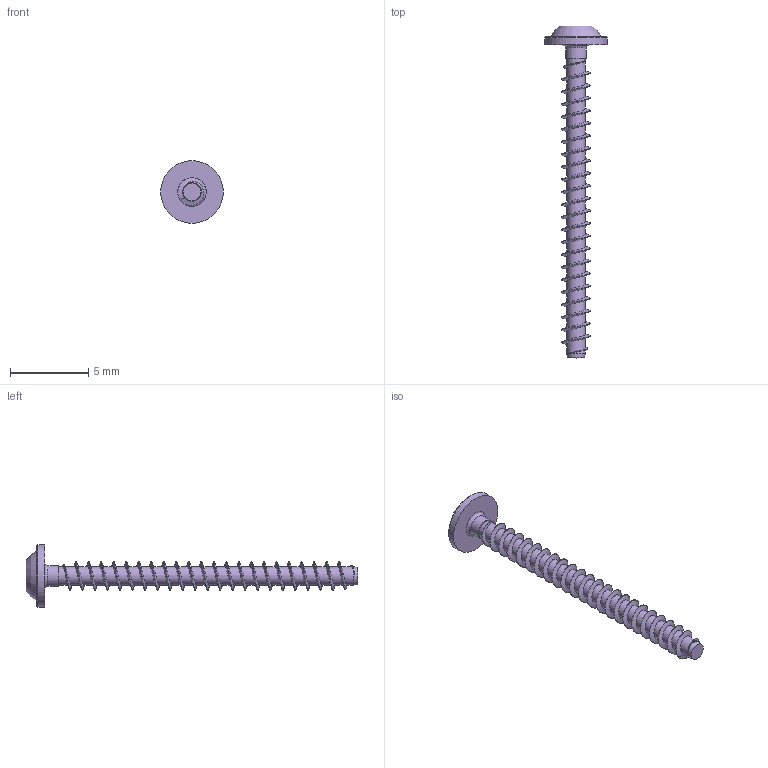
import cadquery as cq
import math


flange_diameter = 4.0
flange_thickness = 0.5
flange_edge_chamfer = 0.06
head_height = 1.2
dome_base_diameter = 3.2
dome_top_diameter = 2.0
dome_bulge = 0.05

shank_diameter = 1.32
shank_end = -0.87
neck_fillet = 0.2

screw_length = 20.0
core_diameter = 1.18
tip_diameter = 1.1
tip_taper_length = 0.3

pitch = 0.8
thread_diameter = 1.82
thread_start = -0.8
thread_end = -19.88
runout_turns = 1.0
flank_half_angle = 15.0
crest_width = 0.02
root_embed = 0.1
buried_crest = 0.02
points_per_turn = 16
start_angle = math.radians(-90)

section_corners = [(True, 1), (True, -1), (False, -1), (False, 1)]

core_radius = core_diameter / 2
crest_radius = thread_diameter / 2
root_radius = core_radius - root_embed
runout_radius = tip_diameter / 2 - buried_crest
thread_turns = (thread_start - thread_end) / pitch


def make_body():
    """Head, shank and core revolved around the Y axis."""
    shank_radius = shank_diameter / 2
    flange_radius = flange_diameter / 2
    dome_base_radius = dome_base_diameter / 2
    dome_top_radius = dome_top_diameter / 2
    fillet_mid = neck_fillet * (1 - math.sqrt(0.5))
    dome_mid_radius = (dome_base_radius + dome_top_radius) / 2 + dome_bulge
    dome_mid_height = (flange_thickness + head_height) / 2 + dome_bulge
    profile = (
        cq.Workplane("XY")
        .moveTo(0, -screw_length)
        .lineTo(tip_diameter / 2, -screw_length)
        .lineTo(core_radius, -screw_length + tip_taper_length)
        .lineTo(core_radius, shank_end)
        .lineTo(shank_radius, shank_end)
        .lineTo(shank_radius, -neck_fillet)
        .threePointArc(
            (shank_radius + fillet_mid, -fillet_mid),
            (shank_radius + neck_fillet, 0),
        )
        .lineTo(flange_radius, 0)
        .lineTo(flange_radius, flange_thickness - flange_edge_chamfer)
        .lineTo(flange_radius - flange_edge_chamfer, flange_thickness)
        .lineTo(dome_base_radius, flange_thickness)
        .threePointArc((dome_mid_radius, dome_mid_height), (dome_top_radius, head_height))
        .lineTo(0, head_height)
        .close()
    )
    return profile.revolve(360, (0, 0, 0), (0, 1, 0))


def crest_radius_at(turn):
    """Crest radius, rising out of the core at one end and sinking back at the other."""
    from_nearest_end = min(turn, thread_turns - turn)
    rise = min(1.0, from_nearest_end / runout_turns)
    return runout_radius + rise * (crest_radius - runout_radius)


def thread_point(turn, is_crest, side):
    """Point on a long edge of the thread; side is +1 towards the head, -1 towards the tip."""
    crest = crest_radius_at(turn)
    radius = crest if is_crest else root_radius
    half_width = crest_width / 2 + (crest - radius) * math.tan(math.radians(flank_half_angle))
    angle = 2 * math.pi * turn + start_angle
    y = thread_start - pitch * turn + side * half_width
    return cq.Vector(radius * math.cos(angle), y, radius * math.sin(angle))


def thread_edges(first_turn, last_turn):
    """The four long edges of one stretch of thread, in order around its section."""
    steps = math.ceil((last_turn - first_turn) * points_per_turn)
    turns = [first_turn + (last_turn - first_turn) * step / steps for step in range(steps + 1)]
    return [
        cq.Edge.makeSpline([thread_point(turn, is_crest, side) for turn in turns])
        for is_crest, side in section_corners
    ]


def end_cap(turn):
    """Flat face that closes the thread at one end."""
    corners = [thread_point(turn, is_crest, side) for is_crest, side in section_corners]
    return cq.Face.makeFromWires(cq.Wire.makePolygon(corners, close=True))


def make_thread():
    """Right-hand thread ridge, built one turn at a time."""
    whole_turns = math.floor(thread_turns - 2 * runout_turns)
    breaks = [0]
    breaks += [runout_turns + turn for turn in range(whole_turns)]
    breaks += [thread_turns - runout_turns, thread_turns]
    faces = [end_cap(0), end_cap(thread_turns)]
    for first_turn, last_turn in zip(breaks, breaks[1:]):
        edges = thread_edges(first_turn, last_turn)
        for index, edge in enumerate(edges):
            next_edge = edges[(index + 1) % len(edges)]
            faces.append(cq.Face.makeRuledSurface(edge, next_edge))
    return cq.Solid.makeSolid(cq.Shell.makeShell(faces)).fix()


result = make_body().union(cq.Workplane(make_thread()))